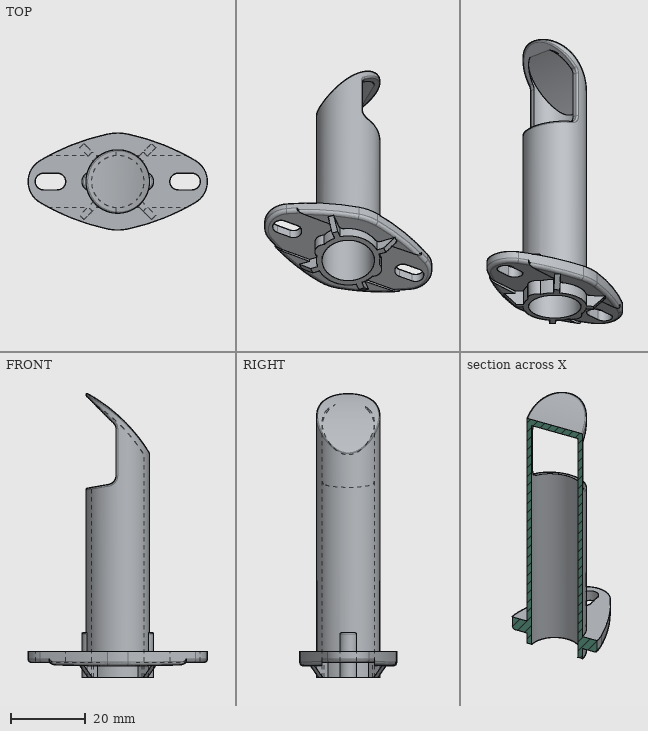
import cadquery as cq
import math

tube_radius = 17 / 2
bore_radius = 14 / 2
wall = tube_radius - bore_radius
roof_tip_height = 76.155
roof_mid_height = 70.2
roof_low_height = 60.0
roof_fillet = 0.3
over_height = 80.0

window_x = -0.5
window_sill_z = 50.6
window_sill_slope = math.radians(10)
window_head_z = 67.4
window_head_slope = math.radians(45)
window_sill_fillet = 2.3
window_head_fillet = 2.0
window_edge_fillet = 0.5

flange_top = 7.0
flange_bottom_mid = 3.1
bulge_end_height = 3.6
flange_bottom_end = 4.0
channel_width = 14.0
flange_length = 48.0
mid_radius = 13.0
end_radius = 6.5
side_radius = 60.0
flange_fillet = 1.0

slot_x = 18.0
slot_length = 8.1
slot_width = 4.4

lug_x = 7.1
lug_radius = 2.5
lug_height = 12.0
lug_fillet = 0.4

gusset_thickness = 1.6
gusset_foot_radius = 10.4
gusset_inner_radius = 7.8
gusset_top = flange_bottom_end
gusset_angles = (45, 135, 225, 315)


def tube_blank():
    """Solid round bar under a curved sloping roof, with the roof edge rounded."""
    roof = (
        cq.Workplane("XZ")
        .moveTo(-tube_radius, 0)
        .lineTo(-tube_radius, roof_tip_height)
        .threePointArc((0, roof_mid_height), (tube_radius, roof_low_height))
        .lineTo(tube_radius, 0)
        .close()
        .extrude(tube_radius, both=True)
    )
    blank = cq.Workplane("XY").circle(tube_radius).extrude(over_height).intersect(roof)
    return blank.edges(">Z").fillet(roof_fillet)


def roof_circle():
    """Centre and radius of the roof arc through its three points."""
    x1, z1 = -tube_radius, roof_tip_height
    z2 = roof_mid_height
    x3, z3 = tube_radius, roof_low_height
    a1 = (x1**2 + z1**2 - z2**2) / 2
    a3 = (x3**2 + z3**2 - z2**2) / 2
    det = x1 * (z3 - z2) - x3 * (z1 - z2)
    cx = (a1 * (z3 - z2) - a3 * (z1 - z2)) / det
    cz = (x1 * a3 - x3 * a1) / det
    return cx, cz, math.hypot(cx, cz - z2)


def bore():
    """Bore from below, closed by a ceiling one wall thickness under the roof."""
    cx, cz, radius = roof_circle()
    ceiling_radius = radius - wall
    points = [
        (x, cz + math.sqrt(ceiling_radius**2 - (x - cx) ** 2))
        for x in (-tube_radius, 0, tube_radius)
    ]
    ceiling = (
        cq.Workplane("XZ")
        .moveTo(-tube_radius, 0)
        .lineTo(*points[0])
        .threePointArc(points[1], points[2])
        .lineTo(tube_radius, 0)
        .close()
        .extrude(tube_radius, both=True)
    )
    return cq.Workplane("XY").circle(bore_radius).extrude(over_height).intersect(ceiling)


def window():
    """Cutter that opens the -X half of the tube between a sill and a sloping head."""
    reach_x = -2 * tube_radius
    run = window_x - reach_x
    sill_inner_z = window_sill_z + (window_x + tube_radius) * math.tan(window_sill_slope)
    sill_outer_z = sill_inner_z - run * math.tan(window_sill_slope)
    head_outer_z = window_head_z + run * math.tan(window_head_slope)
    cutter = (
        cq.Workplane("XZ")
        .polyline([
            (reach_x, sill_outer_z),
            (window_x, sill_inner_z),
            (window_x, window_head_z),
            (reach_x, head_outer_z),
        ])
        .close()
        .extrude(2 * tube_radius, both=True)
    )
    sill_corner = cq.NearestToPointSelector((window_x, 0, sill_inner_z))
    head_corner = cq.NearestToPointSelector((window_x, 0, window_head_z))
    cutter = cutter.edges(sill_corner).fillet(window_sill_fillet)
    return cutter.edges(head_corner).fillet(window_head_fillet)


def soften_window(tube):
    """Round the outer edges of the window in the solid tube."""
    window_box = cq.selectors.BoxSelector(
        (-2 * tube_radius, -2 * tube_radius, flange_top),
        (0, 2 * tube_radius, roof_tip_height),
    )
    across = cq.selectors.ParallelDirSelector(cq.Vector(0, 1, 0))
    return tube.edges(window_box - across).fillet(window_edge_fillet)


def underside_body(end_height, mid_height):
    """Slab whose underside runs from end_height to mid_height at x = 0, as an arc if they differ."""
    half = flange_length / 2
    profile = cq.Workplane("XZ").moveTo(half, flange_top).lineTo(-half, flange_top).lineTo(-half, end_height)
    if mid_height < end_height:
        profile = profile.threePointArc((0, mid_height), (half, end_height))
    else:
        profile = profile.lineTo(half, end_height)
    return profile.close().extrude(mid_radius, both=True)


def rounded_underside(plate):
    return plate.faces("<Z").edges().fillet(flange_fillet)


def flange_outline():
    """Lens-shaped block of tangent arcs, from z = 0 to the flange top."""
    end_x = flange_length / 2 - end_radius
    mid_gap = side_radius - mid_radius
    end_gap = side_radius - end_radius
    side_x = (end_x**2 + mid_gap**2 - end_gap**2) / (2 * end_x)
    side_y = -math.sqrt(mid_gap**2 - side_x**2)
    x1 = -side_x / mid_gap * mid_radius
    y1 = -side_y / mid_gap * mid_radius
    x2 = end_x + (end_x - side_x) / end_gap * end_radius
    y2 = -side_y / end_gap * end_radius
    start_angle = math.atan2(y1 - side_y, x1 - side_x)
    stop_angle = math.atan2(y2 - side_y, x2 - side_x)
    angle = (start_angle + stop_angle) / 2
    xs = side_x + side_radius * math.cos(angle)
    ys = side_y + side_radius * math.sin(angle)
    half = flange_length / 2
    return (
        cq.Workplane("XY")
        .moveTo(-x1, y1)
        .threePointArc((0, mid_radius), (x1, y1))
        .threePointArc((xs, ys), (x2, y2))
        .threePointArc((half, 0), (x2, -y2))
        .threePointArc((xs, -ys), (x1, -y1))
        .threePointArc((0, -mid_radius), (-x1, -y1))
        .threePointArc((-xs, -ys), (-x2, -y2))
        .threePointArc((-half, 0), (-x2, y2))
        .threePointArc((-xs, ys), (-x1, y1))
        .close()
        .extrude(flange_top)
    )


def flange():
    outline = flange_outline()
    flat_plate = rounded_underside(outline.intersect(underside_body(flange_bottom_end, flange_bottom_end)))
    bulged_plate = rounded_underside(outline.intersect(underside_body(bulge_end_height, flange_bottom_mid)))
    channel = cq.Workplane("XY").box(flange_length, channel_width, 2 * (flange_bottom_end + flange_fillet))
    plate = bulged_plate.cut(channel).union(flat_plate)
    slots = (
        cq.Workplane("XY")
        .pushPoints([(-slot_x, 0), (slot_x, 0)])
        .slot2D(slot_length, slot_width)
        .extrude(flange_top)
    )
    return plate.cut(slots)


def lugs():
    """Round upright ribs on the -X and +X sides of the tube."""
    return (
        cq.Workplane("XY")
        .pushPoints([(-lug_x, 0), (lug_x, 0)])
        .circle(lug_radius)
        .extrude(lug_height)
        .faces(">Z")
        .edges()
        .fillet(lug_fillet)
    )


def gusset(angle):
    """Rib whose outer edge slopes outward at 45 degrees up to the flange."""
    return (
        cq.Workplane("XZ")
        .polyline([
            (gusset_inner_radius, 0),
            (gusset_foot_radius, 0),
            (gusset_foot_radius + gusset_top, gusset_top),
            (gusset_inner_radius, gusset_top),
        ])
        .close()
        .extrude(gusset_thickness / 2, both=True)
        .rotate((0, 0, 0), (0, 0, 1), angle)
    )


tube = soften_window(tube_blank().cut(window()))
result = tube.union(flange()).union(lugs())
for angle in gusset_angles:
    result = result.union(gusset(angle))
result = result.cut(bore())